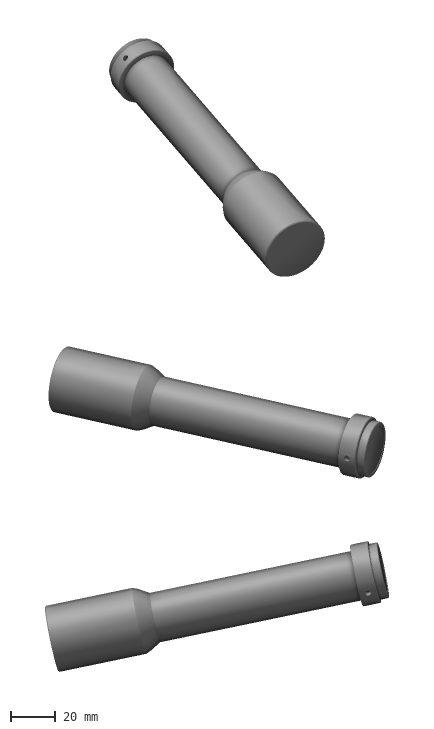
import cadquery as cq
import math

length = 151.0
cap_length = 3.5
collar_start = 3.9
collar_end = 12.0
flare_start = 104.0
flare_end = 111.1
flare_bulge = 0.3

cap_radius = 12.7
neck_radius = 12.2
collar_radius = 14.0
tube_radius = 22.5 / 2
head_radius = 30.0 / 2

cap_chamfer = 0.3
collar_chamfer = 0.3
head_chamfer = 0.5

recess_radius = 11.0
recess_depth = 0.3

hole_count = 3
hole_diameter = 2.7
hole_depth = 2.3
first_hole_angle = 52.0


def cylinder(start, end, radius):
    """Solid cylinder along X between two stations."""
    return cq.Workplane("YZ", origin=(start, 0, 0)).circle(radius).extrude(end - start)


def radial_hole(angle):
    """Cutter for one hole, drilled from the collar surface towards the axis."""
    outward = cq.Vector(0, -math.cos(angle), math.sin(angle))
    middle = cq.Vector((collar_start + collar_end) / 2, 0, 0)
    floor = middle + outward * (collar_radius - hole_depth)
    return cq.Solid.makeCylinder(hole_diameter / 2, 2 * hole_depth, floor, outward)


cap = cylinder(0, cap_length, cap_radius).faces("<X").chamfer(cap_chamfer)
neck = cylinder(cap_length, collar_start, neck_radius)
collar = cylinder(collar_start, collar_end, collar_radius).faces("<X or >X").chamfer(collar_chamfer)
tube = cylinder(collar_end, flare_start, tube_radius)
flare = (
    cq.Workplane("XY")
    .moveTo(flare_start, 0)
    .lineTo(flare_start, tube_radius)
    .sagittaArc((flare_end, head_radius), flare_bulge)
    .lineTo(flare_end, 0)
    .close()
    .revolve(360, (0, 0, 0), (1, 0, 0))
)
head = cylinder(flare_end, length, head_radius).faces(">X").chamfer(head_chamfer)
result = cap.union(neck).union(collar).union(tube).union(flare).union(head)

result = result.cut(cylinder(0, recess_depth, recess_radius))

for index in range(hole_count):
    hole_angle = math.radians(first_hole_angle + index * 360 / hole_count)
    result = result.cut(cq.Workplane(obj=radial_hole(hole_angle)))